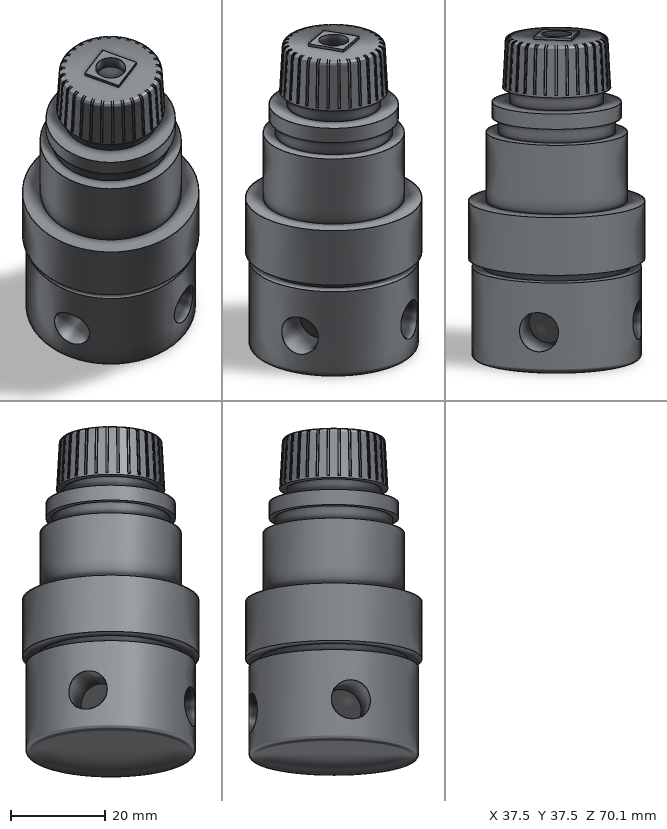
import cadquery as cq
import math

base_top = 19.7
collar_bottom = 21.5
collar_top = 34.0
body_top = 48.9
flange_bottom = 52.15
flange_top = 55.45
knob_bottom = 58.5
knob_top = 69.55
part_top = 70.1

base_diameter = 36.0
base_neck_diameter = 31.3
collar_diameter = 37.5
body_diameter = 30.0
flange_neck_diameter = 25.0
flange_diameter = 27.5
knob_neck_diameter = 20.0

base_edge_radius = 1.0

port_diameter = 8.5
port_depth = 10.0
port_height = 9.0
port_count = 4

knob_bottom_radius = 11.5
knob_shoulder_radius = 10.95
knob_rim_radius = 9.95
knob_edge_height = 1.0
knob_shoulder = knob_top - knob_edge_height

groove_count = 30
groove_width = 0.5
groove_depth = 0.2
knob_lip_height = 0.5
groove_bottom = knob_bottom + knob_lip_height

pad_side = 8.1
pad_hole_diameter = 6.3
pad_hole_depth = 2.65


def step(diameter, bottom, top):
    """Cylinder on the Z axis between two heights."""
    return cq.Workplane("XY").workplane(offset=bottom).circle(diameter / 2).extrude(top - bottom)


def knob_solid(inset=0.0):
    """Knob, optionally with its whole side surface moved inward by the inset."""
    rim = knob_rim_radius - inset
    shoulder = knob_shoulder_radius - inset
    edge_width = shoulder - rim
    arc_middle = (
        rim + edge_width * math.sin(math.pi / 4),
        knob_shoulder + knob_edge_height * math.sin(math.pi / 4),
    )
    return (
        cq.Workplane("XZ")
        .moveTo(0, knob_bottom)
        .lineTo(knob_bottom_radius - inset, knob_bottom)
        .lineTo(shoulder, knob_shoulder)
        .threePointArc(arc_middle, (rim, knob_top))
        .lineTo(0, knob_top)
        .close()
        .revolve(360, (0, 0), (0, 1))
    )


def groove_cutter():
    """Radial bars that reach in as far as the groove floor."""
    bar_height = part_top - groove_bottom
    bars = (
        cq.Workplane("XY")
        .workplane(offset=groove_bottom)
        .polarArray(knob_bottom_radius, 0, 360, groove_count)
        .rect(knob_bottom_radius, groove_width)
        .extrude(bar_height)
    )
    return bars.cut(knob_solid(groove_depth))


def port_cutter(angle):
    """Radial blind port, opening through the side of the base at the given angle."""
    floor_distance = base_diameter / 2 - port_depth
    return (
        cq.Workplane("YZ")
        .workplane(offset=floor_distance)
        .center(0, port_height)
        .circle(port_diameter / 2)
        .extrude(collar_diameter / 2 - floor_distance)
        .rotate((0, 0, 0), (0, 0, 1), angle)
    )


base = step(base_diameter, 0, base_top).faces("<Z").edges().fillet(base_edge_radius)
for index in range(port_count):
    base = base.cut(port_cutter(index * 360 / port_count))

result = (
    base
    .union(step(base_neck_diameter, base_top, collar_bottom))
    .union(step(collar_diameter, collar_bottom, collar_top))
    .union(step(body_diameter, collar_top, body_top))
    .union(step(flange_neck_diameter, body_top, flange_bottom))
    .union(step(flange_diameter, flange_bottom, flange_top))
    .union(step(knob_neck_diameter, flange_top, knob_bottom))
)

result = result.union(knob_solid().cut(groove_cutter()))

pad = cq.Workplane("XY").workplane(offset=knob_top).rect(pad_side, pad_side).extrude(part_top - knob_top)
result = result.union(pad)
result = result.cut(step(pad_hole_diameter, part_top - pad_hole_depth, part_top))